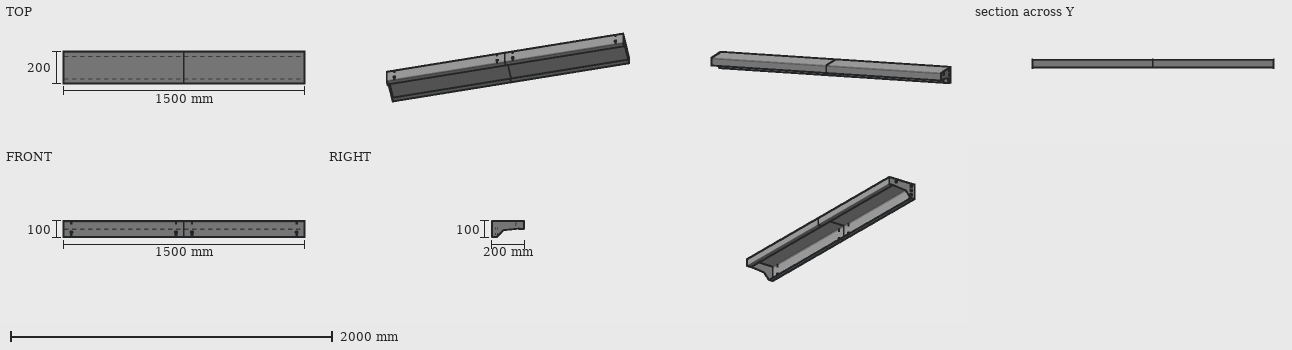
import cadquery as cq

LENGTH = 1500.0
DEPTH = 200.0
HEIGHT = 100.0
SHELF_LENGTH = LENGTH / 2

SHEET = 2.0
BEND_RADIUS = 4.0
INNER_BEND_RADIUS = BEND_RADIUS - SHEET
LIP_WIDTH = 30.0
RIM_BOTTOM = HEIGHT / 2

MOUNT_INSET = 50.0
MOUNT_HOLE_DIAMETER = 12.0
MOUNT_HOLE_HEIGHT = 30.0
SLIT_WIDTH = 5.0
SLIT_LENGTH = 12.0
SLIT_MARGIN = 6.0

PLATE_THICKNESS = SHEET
FOOT_WIDTH = 33.0
KNEE_Y = 70.0
KNEE_Z = 42.0
PLATE_HOLE_DIAMETER = 15.0
FRONT_HOLE_Y = 27.0
REAR_HOLE_Y = 144.0
TOP_HOLE_Z = 82.0
MIDDLE_HOLE_Z = 54.0
BOTTOM_HOLE_Z = 24.0


def sheet_section(start_x):
    """Closed section of the bent sheet: lip, wall panel, top, rim, lip."""
    outer = (
        cq.Workplane("YZ", origin=(start_x, 0, 0))
        .moveTo(LIP_WIDTH, 0)
        .lineTo(BEND_RADIUS, 0)
        .radiusArc((0, BEND_RADIUS), BEND_RADIUS)
        .lineTo(0, HEIGHT - BEND_RADIUS)
        .radiusArc((BEND_RADIUS, HEIGHT), BEND_RADIUS)
        .lineTo(DEPTH - BEND_RADIUS, HEIGHT)
        .radiusArc((DEPTH, HEIGHT - BEND_RADIUS), BEND_RADIUS)
        .lineTo(DEPTH, RIM_BOTTOM + BEND_RADIUS)
        .radiusArc((DEPTH - BEND_RADIUS, RIM_BOTTOM), BEND_RADIUS)
        .lineTo(DEPTH - LIP_WIDTH, RIM_BOTTOM)
    )
    return (
        outer.lineTo(DEPTH - LIP_WIDTH, RIM_BOTTOM + SHEET)
        .lineTo(DEPTH - BEND_RADIUS, RIM_BOTTOM + SHEET)
        .radiusArc((DEPTH - SHEET, RIM_BOTTOM + BEND_RADIUS), -INNER_BEND_RADIUS)
        .lineTo(DEPTH - SHEET, HEIGHT - BEND_RADIUS)
        .radiusArc((DEPTH - BEND_RADIUS, HEIGHT - SHEET), -INNER_BEND_RADIUS)
        .lineTo(BEND_RADIUS, HEIGHT - SHEET)
        .radiusArc((SHEET, HEIGHT - BEND_RADIUS), -INNER_BEND_RADIUS)
        .lineTo(SHEET, BEND_RADIUS)
        .radiusArc((BEND_RADIUS, SHEET), -INNER_BEND_RADIUS)
        .lineTo(LIP_WIDTH, SHEET)
        .close()
    )


def mount_cutter(x):
    """Round hole with a slit near the bottom and a slit near the top of the wall panel."""
    panel = cq.Workplane("XZ")
    hole = panel.center(x, MOUNT_HOLE_HEIGHT).circle(MOUNT_HOLE_DIAMETER / 2).extrude(-SHEET)
    slit_offset = SLIT_MARGIN + SLIT_LENGTH / 2
    slits = (
        panel.pushPoints([(x, slit_offset), (x, HEIGHT - slit_offset)])
        .rect(SLIT_WIDTH, SLIT_LENGTH)
        .extrude(-SHEET)
    )
    return hole.union(slits)


def make_shelf(start_x):
    """One bent-sheet shelf that begins at start_x."""
    shelf = sheet_section(start_x).extrude(SHELF_LENGTH)
    for x in (start_x + MOUNT_INSET, start_x + SHELF_LENGTH - MOUNT_INSET):
        shelf = shelf.cut(mount_cutter(x))
    return shelf


def make_end_plate(start_x):
    """Plain plate that fills the section inside the sheet, with a sloping lower edge."""
    return (
        cq.Workplane("YZ", origin=(start_x, 0, 0))
        .moveTo(FOOT_WIDTH, SHEET)
        .lineTo(BEND_RADIUS, SHEET)
        .radiusArc((SHEET, BEND_RADIUS), INNER_BEND_RADIUS)
        .lineTo(SHEET, HEIGHT - BEND_RADIUS)
        .radiusArc((BEND_RADIUS, HEIGHT - SHEET), INNER_BEND_RADIUS)
        .lineTo(DEPTH - BEND_RADIUS, HEIGHT - SHEET)
        .radiusArc((DEPTH - SHEET, HEIGHT - BEND_RADIUS), INNER_BEND_RADIUS)
        .lineTo(DEPTH - SHEET, RIM_BOTTOM + BEND_RADIUS)
        .radiusArc((DEPTH - BEND_RADIUS, RIM_BOTTOM + SHEET), INNER_BEND_RADIUS)
        .lineTo(DEPTH - LIP_WIDTH, RIM_BOTTOM + SHEET)
        .lineTo(KNEE_Y, KNEE_Z)
        .close()
        .extrude(PLATE_THICKNESS)
    )


def drill_plate(plate, start_x):
    """Cut the column of front holes and the single rear hole through an end plate."""
    hole_places = [(FRONT_HOLE_Y, z) for z in (TOP_HOLE_Z, MIDDLE_HOLE_Z, BOTTOM_HOLE_Z)]
    hole_places.append((REAR_HOLE_Y, TOP_HOLE_Z))
    holes = (
        cq.Workplane("YZ", origin=(start_x, 0, 0))
        .pushPoints(hole_places)
        .circle(PLATE_HOLE_DIAMETER / 2)
        .extrude(PLATE_THICKNESS)
    )
    return plate.cut(holes)


shelves = [make_shelf(start_x) for start_x in (-SHELF_LENGTH, 0)]

drilled_plate = drill_plate(make_end_plate(-SHELF_LENGTH), -SHELF_LENGTH)
plain_plate = make_end_plate(SHELF_LENGTH - PLATE_THICKNESS)

result = cq.Compound.makeCompound(
    [
        *[shelf.val() for shelf in shelves],
        drilled_plate.val(),
        plain_plate.val(),
    ]
)